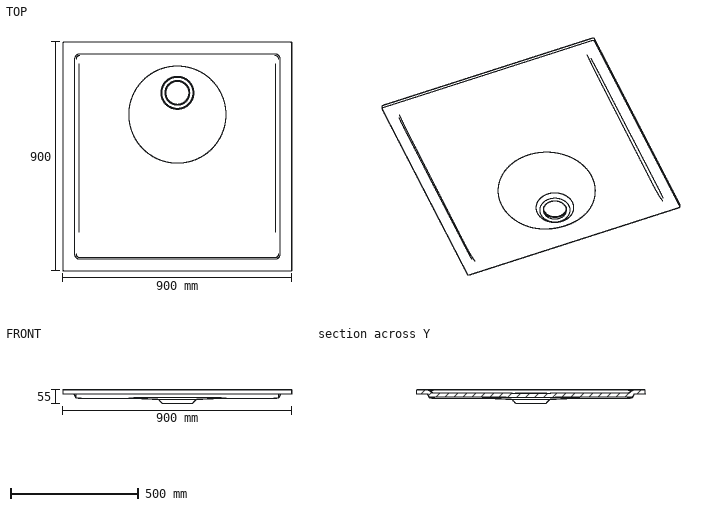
import cadquery as cq
import math


TRAY_SIDE = 900.0
TRAY_DEPTH = 55.0
RIM_HEIGHT = 18.0
RIM_CORNER_RADIUS = 5.0
RIM_EDGE_RADIUS = 4.0
RIM_FLAT = 1.0
RIM_FALL = 1.3
OPENING_SIDE = 806.0
OPENING_CORNER_RADIUS = 20.0

LIP_WIDTH = 6.0
LIP_BOTTOM = -4.5

FLOOR_HALF_LENGTH = OPENING_SIDE / 2 - LIP_WIDTH
BEND_FRONT_Y = -297.0
BEND_BACK_Y = 297.0
BEND_FRONT_Z = -9.0
BEND_BACK_Z = -17.0
COVE_FOOT = 386.0
FLOOR_HALF_WIDTH = 378.0
COVE_DEPTH_SHARE = 0.9

FLOOR_THICKNESS = 18.0
BELLY_TOP_Z = -17.0
BELLY_TOP_HALF_WIDTH = 407.0
BELLY_HALF_WIDTH = 398.0

DISH_Y = 165.0
DISH_RADIUS = 191.0
DISH_STEP = 0.2
DRAIN_Y = 250.0
DRAIN_TOP_Z = -22.0
DRAIN_TOP_RADIUS = 65.0
DRAIN_EDGE_RADIUS = 61.0
DRAIN_EDGE_DROP = 9.0
FLANGE_Z = -40.0
FLANGE_RADIUS = 49.0
HOLE_RADIUS = 45.0
SUMP_TOP_RADIUS = 74.0
SUMP_BOTTOM_RADIUS = 59.0
SUMP_TOP_Z = DRAIN_TOP_Z - FLOOR_THICKNESS

CLEARANCE = 9.0
DISH_EDGE_POINTS = 24

FLOOR_SLOPE = (BEND_BACK_Z - BEND_FRONT_Z) / (BEND_BACK_Y - BEND_FRONT_Y)


def plane_z(y):
    """Height of the sloping floor plane at y."""
    return BEND_FRONT_Z + FLOOR_SLOPE * (y - BEND_FRONT_Y)


def floor_z(y):
    """Height of the floor at y, including the parabola at either end."""
    if y > BEND_BACK_Y:
        bend_y, end_y = BEND_BACK_Y, FLOOR_HALF_LENGTH
    elif y < BEND_FRONT_Y:
        bend_y, end_y = BEND_FRONT_Y, -FLOOR_HALF_LENGTH
    else:
        return plane_z(y)
    rise = LIP_BOTTOM - plane_z(end_y)
    return plane_z(y) + rise * ((y - bend_y) / (end_y - bend_y)) ** 2


def floor_section(x, end_z, drop, depth_share, top_z):
    """Closed YZ outline at x: the floor, lowered by drop and flattened toward end_z, up to top_z."""

    def point(y, z):
        return cq.Vector(x, y, end_z + depth_share * (z - end_z))

    def end_curve(end_y, bend_y):
        middle_y = (end_y + bend_y) / 2
        return [
            point(end_y, end_z),
            point(middle_y, plane_z(middle_y) - drop),
            point(bend_y, plane_z(bend_y) - drop),
        ]

    front = end_curve(-FLOOR_HALF_LENGTH, BEND_FRONT_Y)
    back = end_curve(FLOOR_HALF_LENGTH, BEND_BACK_Y)[::-1]
    top_back = cq.Vector(x, FLOOR_HALF_LENGTH, top_z)
    top_front = cq.Vector(x, -FLOOR_HALF_LENGTH, top_z)
    edges = [
        cq.Edge.makeBezier(front),
        cq.Edge.makeLine(front[-1], back[0]),
        cq.Edge.makeBezier(back),
        cq.Edge.makeLine(back[-1], top_back),
        cq.Edge.makeLine(top_back, top_front),
        cq.Edge.makeLine(top_front, front[0]),
    ]
    return cq.Wire.assembleEdges(edges)


def floor_body(stations, end_z, drop, top_z):
    """Body above a floor surface; stations are (half width, depth share) from the wall inward."""
    left = [(-x, share) for x, share in stations]
    right = [(x, share) for x, share in reversed(stations)]
    sections = [floor_section(x, end_z, drop, share, top_z) for x, share in left + right]
    return cq.Workplane(obj=cq.Solid.makeLoft(sections, True))


def rounded_square(side, radius, z):
    return cq.Sketch().rect(side, side).vertices().fillet(radius).moved(cq.Location(cq.Vector(0, 0, z)))


def square_funnel(top_side, top_radius, top_z, bottom_side, bottom_radius, bottom_z):
    """Tapered body between two rounded squares."""
    top = rounded_square(top_side, top_radius, top_z)
    bottom = rounded_square(bottom_side, bottom_radius, bottom_z)
    return cq.Workplane().placeSketch(bottom, top).loft(ruled=True)


def dish_body(drop, top_z):
    """Body over the dish: from the drain circle out to a circle following the floor, then up to top_z."""
    edge_points = []
    for i in range(DISH_EDGE_POINTS):
        angle = 2 * math.pi * i / DISH_EDGE_POINTS
        y = DISH_Y + DISH_RADIUS * math.sin(angle)
        edge_points.append(cq.Vector(DISH_RADIUS * math.cos(angle), y, floor_z(y) - DISH_STEP - drop))
    up = cq.Vector(0, 0, 1)
    drain = cq.Wire.makeCircle(DRAIN_TOP_RADIUS, cq.Vector(0, DRAIN_Y, DRAIN_TOP_Z - drop), up)
    edge = cq.Wire.assembleEdges([cq.Edge.makeSpline(edge_points, periodic=True)])
    top = cq.Wire.makeCircle(DISH_RADIUS, cq.Vector(0, DISH_Y, top_z), up)
    return cq.Workplane(obj=cq.Solid.makeLoft([drain, edge, top], True))


def turned_at_drain(outline):
    """Body of revolution about the drain axis from (radius, z) points."""
    return (
        cq.Workplane("XZ", origin=(0, DRAIN_Y, 0))
        .polyline(outline)
        .close()
        .revolve(360, (0, 0), (0, 1))
    )


slab = (
    cq.Workplane()
    .rect(TRAY_SIDE, TRAY_SIDE)
    .extrude(-RIM_HEIGHT)
    .edges("|Z")
    .fillet(RIM_CORNER_RADIUS)
    .faces(">Z")
    .edges()
    .fillet(RIM_EDGE_RADIUS)
)

belly_stations = [(BELLY_TOP_HALF_WIDTH, 0), (BELLY_HALF_WIDTH, COVE_DEPTH_SHARE), (FLOOR_HALF_WIDTH, 1)]
belly = floor_body(belly_stations, BELLY_TOP_Z, FLOOR_THICKNESS, LIP_BOTTOM - CLEARANCE / 2)
dish_belly = dish_body(FLOOR_THICKNESS, LIP_BOTTOM - CLEARANCE)
sump = turned_at_drain(
    [
        (0, SUMP_TOP_Z + CLEARANCE),
        (SUMP_TOP_RADIUS, SUMP_TOP_Z + CLEARANCE),
        (SUMP_TOP_RADIUS, SUMP_TOP_Z),
        (SUMP_BOTTOM_RADIUS, -TRAY_DEPTH),
        (0, -TRAY_DEPTH),
    ]
)

flat_side = TRAY_SIDE - 2 * (RIM_EDGE_RADIUS + RIM_FLAT)
lip_side = OPENING_SIDE - 2 * LIP_WIDTH
lip_radius = OPENING_CORNER_RADIUS - LIP_WIDTH
rim_slope = square_funnel(
    flat_side, RIM_CORNER_RADIUS, 0, OPENING_SIDE, OPENING_CORNER_RADIUS, -RIM_FALL
)
lip = square_funnel(
    OPENING_SIDE, OPENING_CORNER_RADIUS, -RIM_FALL, lip_side, lip_radius, LIP_BOTTOM
)
basin_stations = [(FLOOR_HALF_LENGTH, 0), (COVE_FOOT, COVE_DEPTH_SHARE), (FLOOR_HALF_WIDTH, 1)]
basin_limit = cq.Workplane().placeSketch(rounded_square(lip_side, lip_radius, CLEARANCE)).extrude(-TRAY_DEPTH)
basin = floor_body(basin_stations, LIP_BOTTOM, 0, CLEARANCE).intersect(basin_limit)
dish = dish_body(0, CLEARANCE)
drain = turned_at_drain(
    [
        (0, CLEARANCE),
        (DRAIN_TOP_RADIUS, CLEARANCE),
        (DRAIN_TOP_RADIUS, DRAIN_TOP_Z),
        (DRAIN_EDGE_RADIUS, DRAIN_TOP_Z - DRAIN_EDGE_DROP),
        (FLANGE_RADIUS, FLANGE_Z),
        (HOLE_RADIUS, FLANGE_Z),
        (HOLE_RADIUS, -TRAY_DEPTH - CLEARANCE),
        (0, -TRAY_DEPTH - CLEARANCE),
    ]
)

result = slab.union(belly).union(dish_belly).union(sump)
for hollow in (rim_slope, lip, basin, dish, drain):
    result = result.cut(hollow)